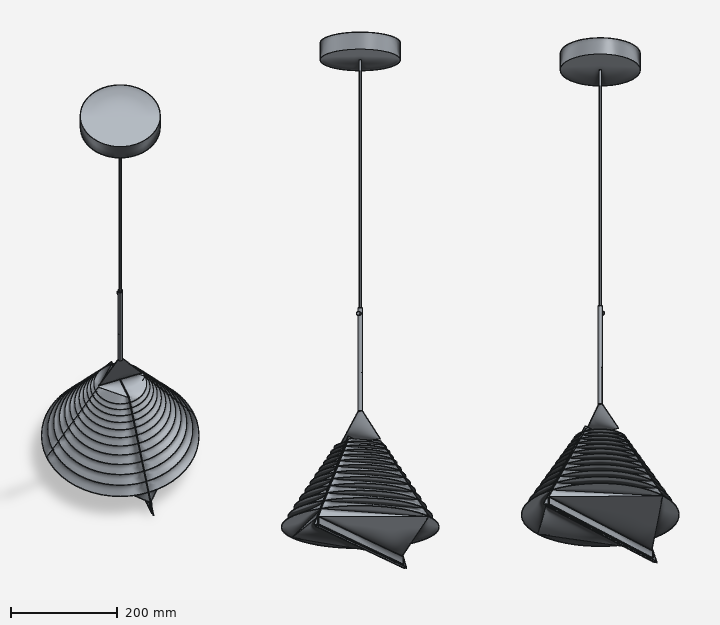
import cadquery as cq
import math

overall_height = 981.0

canopy_diameter = 150.0
canopy_height = 33.0
cord_diameter = 4.0
cord_grip_depth = 10.0

stem_diameter = 9.3
stem_top_z = 465.0
stem_bottom_z = 265.0
slot_height = 75.0
screw_diameter = 8.0
screw_reach = 8.0
screw_drop = 12.0

tier_count = 12
first_tier_z = 192.0
first_tier_drop = 9.3
tier_drop_growth = 0.92
rim_radius = 147.6
ridge_slope = 0.64
rim_lip_height = 1.0
cap_z = 201.0
skirt_crease_z = 22.0

sheet_thickness = 1.0
fin_top_z = 205.0
fin_bottom_z = 2.0
fin_top_half_width = 46.0
fin_bottom_half_width = 175.0
hanger_half_width = 43.0

rail_half_length = 160.0
rail_thickness = 5.0
rail_bottom_z = 6.0
rail_top_z = 21.0
keel_half_length = 168.0
keel_thickness = 2.0
keel_top_z = 4.0


def upright_cylinder(diameter, bottom_z, top_z):
    return cq.Workplane("XY").workplane(offset=bottom_z).circle(diameter / 2).extrude(top_z - bottom_z)


def upright_box(size_x, size_y, bottom_z, top_z):
    return cq.Workplane("XY").workplane(offset=bottom_z).rect(size_x, size_y).extrude(top_z - bottom_z)


def make_canopy():
    return upright_cylinder(canopy_diameter, overall_height - canopy_height, overall_height)


def make_cord():
    return upright_cylinder(cord_diameter, stem_top_z - cord_grip_depth, overall_height - canopy_height)


def make_stem():
    stem = upright_cylinder(stem_diameter, stem_bottom_z, stem_top_z)
    screw = (
        cq.Workplane("YZ")
        .center(0, stem_top_z - screw_drop)
        .circle(screw_diameter / 2)
        .extrude(-screw_reach)
    )
    cord_hole = make_cord()
    slot = upright_box(sheet_thickness, 2 * stem_diameter, stem_bottom_z, stem_bottom_z + slot_height)
    return stem.union(screw).cut(cord_hole).cut(slot)


def tier_bottom_z(tier):
    """Height of a tier's round bottom; each drop is a little longer than the one above."""
    return first_tier_z - tier * first_tier_drop - tier_drop_growth * tier * (tier - 1) / 2


rim_z = tier_bottom_z(tier_count - 1)


def ridge_radius(z):
    """Distance from the axis to the four straight ridges at a height."""
    return rim_radius + ridge_slope * (rim_z - z)


def diamond_wire(radius, z, back_reach):
    """Four-sided outline with corners on the X and Y axes; back_reach places the +Y corner."""
    corners = [(radius, 0, z), (0, back_reach, z), (-radius, 0, z), (0, -radius, z)]
    return cq.Wire.makePolygon([cq.Vector(*corner) for corner in corners], close=True)


def circle_wire(radius, z):
    """Circle split into quarter arcs, so that each arc pairs with one side of a diamond."""

    def rim_point(eighth):
        angle = eighth * math.pi / 4
        return cq.Vector(radius * math.cos(angle), radius * math.sin(angle), z)

    arcs = [
        cq.Edge.makeThreePointArc(rim_point(start), rim_point(start + 1), rim_point(start + 2))
        for start in (0, 2, 4, 6)
    ]
    return cq.Wire.assembleEdges(arcs)


def make_tier(tier):
    """One tier: a diamond on the ridges at its top, a circle with a short lip at its bottom."""
    bottom_z = tier_bottom_z(tier)
    lip_top_z = bottom_z + rim_lip_height
    radius = ridge_radius(bottom_z)
    if tier == 0:
        top = diamond_wire(ridge_radius(cap_z), cap_z, 0)
    else:
        top_z = tier_bottom_z(tier - 1)
        top = diamond_wire(ridge_radius(top_z), top_z, ridge_radius(top_z))
    bottom = circle_wire(radius, lip_top_z)
    cone = cq.Workplane(cq.Solid.makeLoft([top, bottom], True))
    lip = upright_cylinder(2 * radius, bottom_z, lip_top_z)
    return cone.union(lip)


def make_skirt():
    """Pyramid continuing below the last circle, closed underneath by two planes that meet at Y = 0."""
    crease_radius = ridge_radius(skirt_crease_z)
    top = diamond_wire(rim_radius, rim_z, rim_radius)
    bottom = diamond_wire(crease_radius, skirt_crease_z, crease_radius)
    pyramid = cq.Workplane(cq.Solid.makeLoft([top, bottom], True))
    wedge = (
        cq.Workplane("YZ")
        .polyline([(-rim_radius, rim_z), (rim_radius, rim_z), (0, skirt_crease_z)])
        .close()
        .extrude(crease_radius, both=True)
    )
    return pyramid.intersect(wedge)


def make_fin():
    """Sheet across the shade in the XZ plane, edging the ridges on both sides."""
    outline = [
        (-fin_bottom_half_width, fin_bottom_z),
        (fin_bottom_half_width, fin_bottom_z),
        (fin_top_half_width, fin_top_z),
        (-fin_top_half_width, fin_top_z),
    ]
    return cq.Workplane("XZ").polyline(outline).close().extrude(sheet_thickness / 2, both=True)


def make_hanger():
    """Triangular sheet in the YZ plane above the fin, with a tongue that fills the stem slot."""
    half_stem = stem_diameter / 2
    tongue_top_z = stem_bottom_z + slot_height
    outline = [
        (-hanger_half_width, fin_top_z),
        (hanger_half_width, fin_top_z),
        (half_stem, stem_bottom_z),
        (half_stem, tongue_top_z),
        (-half_stem, tongue_top_z),
        (-half_stem, stem_bottom_z),
    ]
    return cq.Workplane("YZ").polyline(outline).close().extrude(sheet_thickness / 2, both=True)


def make_rail_and_keel():
    """Two bars along the fin, a wide one above a thin one, which the fin joins together."""
    rail = upright_box(2 * rail_half_length, rail_thickness, rail_bottom_z, rail_top_z)
    keel = upright_box(2 * keel_half_length, keel_thickness, 0, keel_top_z)
    return [rail, keel]


def make_shade():
    shade = make_skirt()
    for tier in reversed(range(tier_count)):
        shade = shade.union(make_tier(tier))
    for part in [make_fin(), make_hanger(), *make_rail_and_keel()]:
        shade = shade.union(part)
    return shade


canopy = make_canopy()
cord = make_cord()
stem = make_stem()
shade = make_shade()

result = cq.Compound.makeCompound([canopy.val(), cord.val(), stem.val(), shade.val()])